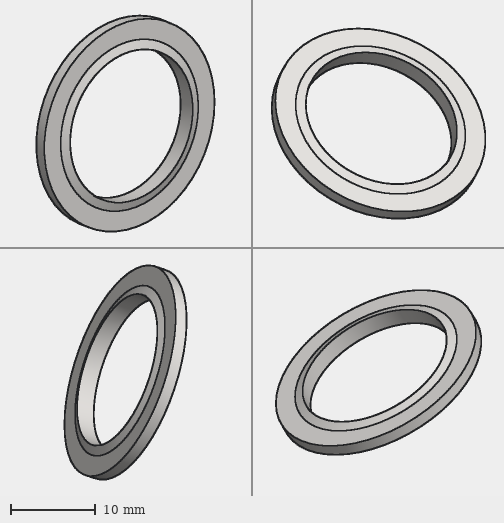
import cadquery as cq

outer_diameter = 26.0
bore_diameter = 18.7
lip_base_diameter = 21.0
ring_thickness = 1.5
overall_thickness = 2.3

outer_radius = outer_diameter / 2
bore_radius = bore_diameter / 2
lip_base_radius = lip_base_diameter / 2
half_ring = ring_thickness / 2
half_overall = overall_thickness / 2

section = (
    cq.Workplane("XY")
    .moveTo(-half_overall, bore_radius)
    .lineTo(half_overall, bore_radius)
    .lineTo(half_ring, lip_base_radius)
    .lineTo(half_ring, outer_radius)
    .lineTo(-half_ring, outer_radius)
    .lineTo(-half_ring, lip_base_radius)
    .close()
)

result = section.revolve(360, (0, 0, 0), (1, 0, 0))